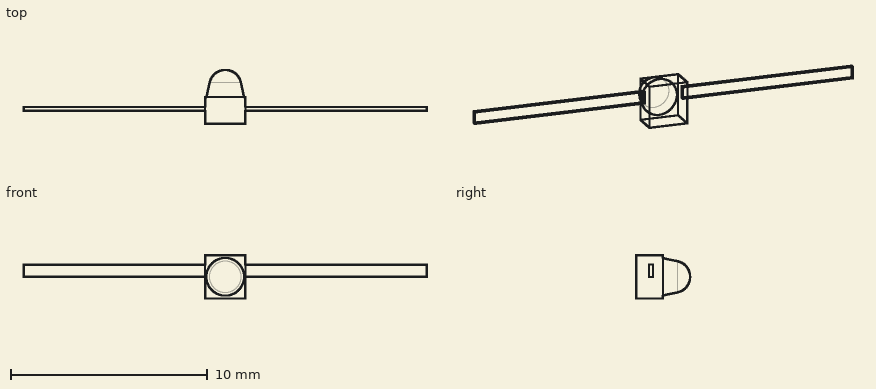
import cadquery as cq
import math

body_width = 2.05
body_depth = 1.35
body_height = 2.21

total_depth = 2.75
lens_radius = 0.82
lens_taper = math.radians(12)

lead_span = 20.5
lead_thickness = 0.2
lead_height = 0.61
lead_from_back = 0.75


def make_body():
    return cq.Workplane("XY").box(body_width, body_depth, body_height, centered=(True, False, True))


def make_lead():
    return (
        cq.Workplane("XY")
        .box(lead_span, lead_thickness, lead_height, centered=(True, True, False))
        .translate((0, lead_from_back, 0))
    )


def make_lens():
    cap_center = total_depth - lens_radius
    joint_radius = lens_radius * math.cos(lens_taper)
    joint_y = cap_center + lens_radius * math.sin(lens_taper)
    base_radius = joint_radius + (joint_y - body_depth) * math.tan(lens_taper)

    middle_angle = (math.pi / 2 + lens_taper) / 2
    middle_x = lens_radius * math.cos(middle_angle)
    middle_y = cap_center + lens_radius * math.sin(middle_angle)

    return (
        cq.Workplane("XY")
        .moveTo(0, body_depth)
        .lineTo(base_radius, body_depth)
        .lineTo(joint_radius, joint_y)
        .threePointArc((middle_x, middle_y), (0, total_depth))
        .close()
        .revolve(360, (0, 0, 0), (0, 1, 0))
    )


result = make_body().union(make_lens()).union(make_lead())